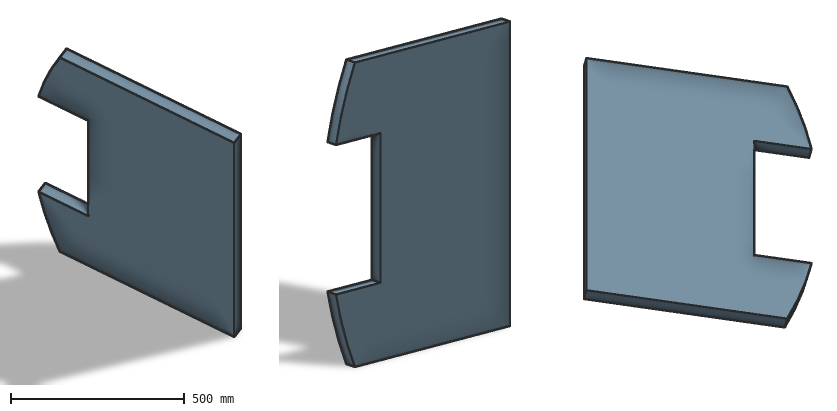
import cadquery as cq
import math

height = 920.0
width = 661.5
thickness = 38.0

notch_height = 452.0
notch_depth = 168.0

corner_setback = 72.0

half_height = height / 2
half_notch = notch_height / 2
tip_x = -width / 2
corner_x = tip_x + corner_setback

center_offset = (corner_setback**2 + half_height**2 - half_notch**2) / (2 * corner_setback)
arc_radius = math.hypot(center_offset, half_notch)
arc_center_x = tip_x + center_offset


def plate_blank():
    """Plate with a straight right side and a full arc on the left side."""
    arc_middle = (arc_center_x - arc_radius, 0)
    return (
        cq.Workplane("XZ")
        .moveTo(width / 2, -half_height)
        .lineTo(width / 2, half_height)
        .lineTo(corner_x, half_height)
        .threePointArc(arc_middle, (corner_x, -half_height))
        .close()
        .extrude(thickness / 2, both=True)
    )


def notch_cutter():
    """Block reaching from beyond the arc to the notch floor."""
    floor_x = tip_x + notch_depth
    cutter_length = 2 * notch_depth
    return cq.Workplane("XY").box(cutter_length, 2 * thickness, notch_height).translate(
        (floor_x - cutter_length / 2, 0, 0)
    )


result = plate_blank().cut(notch_cutter())